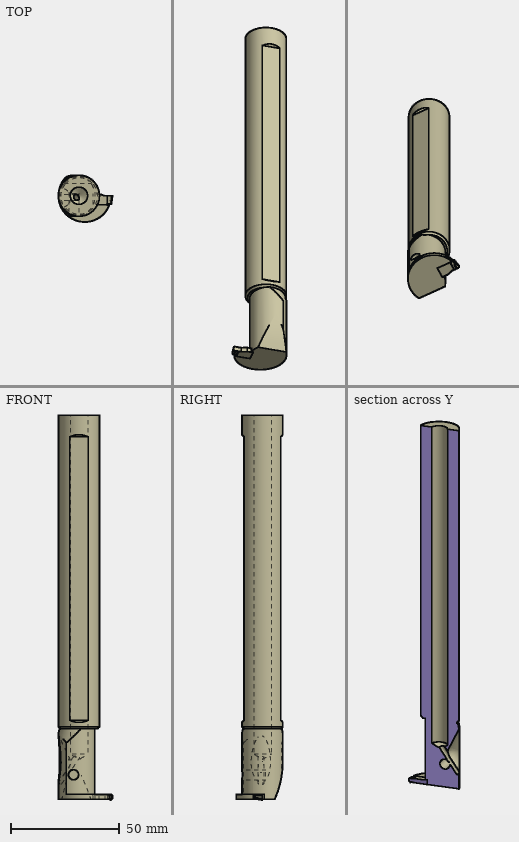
import cadquery as cq
import math

total_length = 177.8
overall_width = 25.0
overall_depth = 21.7

shank_diameter = 19.0
shank_radius = shank_diameter / 2
shank_bottom = 32.9
shank_chamfer = 1.0
flat_offset = 8.5
flat_depth = shank_radius - flat_offset
flat_bottom = 36.0
flat_top = 168.7

plate_bottom = 0.4
plate_thickness = 2.3
plate_radius = overall_depth - shank_radius
plate_center_x = plate_radius - shank_radius

neck_radius = shank_radius
neck_center_x = -2.1
neck_cone_bottom = 23.5
neck_cone_bottom_radius = 11.2
neck_cone_top_radius = 9.0

relief_radius = 45.3
relief_top = 18.5

bore_diameter = 8.0
bore_bottom = 21.3
drill_point_angle = 118.0
pocket_radius = 4.5
pocket_x = -8.4
pocket_y = -0.9
pocket_z = 17.5
pocket_upper_tilt = 26.0
pocket_lower_tilt = 36.0
coolant_hole_diameter = 2.7
coolant_hole_y = -0.7
coolant_hole_tilt = 35.0
cross_hole_diameter = 4.6
cross_hole_x = -2.5
cross_hole_z = 11.7
cross_hole_end_y = 1.2

insert_front_y = -4.3
insert_root_x = 6.4
insert_root_y = 0.9
insert_slope_start_x = 9.2
insert_slope_end_x = 12.0
head_start_x = 13.0
tip_x = overall_width - shank_radius
point_x = 14.5
point_half_width = 0.5
tip_chamfer = 0.5
head_length = 4.0
head_relief_angle = 8.0


def cylinder(radius, bottom, top, x=0.0):
    """A vertical cylinder between two heights."""
    return cq.Workplane("XY", origin=(x, 0, bottom)).circle(radius).extrude(top - bottom)


def make_flat_cut(side):
    """Material outside one flat; its ends run out at 45 degrees. `side` is -1 or 1 along Y."""
    return (
        cq.Workplane("YZ", origin=(-shank_radius, 0, 0))
        .moveTo(side * flat_offset, flat_bottom + flat_depth)
        .lineTo(side * flat_offset, flat_top - flat_depth)
        .lineTo(side * shank_radius, flat_top)
        .lineTo(side * shank_radius, flat_bottom)
        .close()
        .extrude(shank_diameter)
    )


def make_shank():
    shank = cylinder(shank_radius, shank_bottom, total_length).faces("<Z").chamfer(shank_chamfer)
    for side in (-1, 1):
        shank = shank.cut(make_flat_cut(side))
    return shank


def make_neck():
    """The lens-shaped neck, narrowed by a cone where it meets the shank."""
    outer = cylinder(plate_radius, plate_bottom, shank_bottom, plate_center_x)
    lens = outer.intersect(cylinder(neck_radius, plate_bottom, shank_bottom, neck_center_x))
    cone = (
        cq.Workplane("XY", origin=(0, 0, neck_cone_bottom))
        .circle(neck_cone_bottom_radius)
        .workplane(offset=shank_bottom - neck_cone_bottom)
        .circle(neck_cone_top_radius)
        .loft(ruled=True)
    )
    below_cone = cylinder(2 * plate_radius, 0, neck_cone_bottom)
    return lens.intersect(below_cone.union(cone))


def make_plate():
    """The part of the plate disc on the -Y side of the insert."""
    disc = cylinder(plate_radius, plate_bottom, plate_bottom + plate_thickness, plate_center_x)
    kept_side = (
        cq.Workplane("XY", origin=(plate_center_x, insert_front_y - plate_radius, plate_bottom))
        .rect(2 * plate_radius, 2 * plate_radius)
        .extrude(plate_thickness)
    )
    return disc.intersect(kept_side)


def relief_y(height):
    """Y of the clearance curve at a height."""
    return neck_radius - relief_radius + math.sqrt(relief_radius**2 - (relief_top - height) ** 2)


def make_relief():
    """Material outside the curved clearance at the foot of the +Y side."""
    return (
        cq.Workplane("YZ", origin=(plate_center_x - plate_radius, 0, 0))
        .moveTo(neck_radius, relief_top)
        .threePointArc((relief_y(relief_top / 2), relief_top / 2), (relief_y(0), 0))
        .lineTo(2 * neck_radius, 0)
        .lineTo(2 * neck_radius, relief_top)
        .close()
        .extrude(2 * plate_radius)
    )


def make_bore():
    """The blind axial bore with its drill point."""
    radius = bore_diameter / 2
    point_depth = radius / math.tan(math.radians(drill_point_angle / 2))
    return (
        cq.Workplane("XZ")
        .moveTo(0, bore_bottom - point_depth)
        .lineTo(radius, bore_bottom)
        .lineTo(radius, total_length)
        .lineTo(0, total_length)
        .close()
        .revolve(360, (0, 0, 0), (0, 1, 0))
    )


def pocket_arm(tilt, vertical):
    """Vector along one arm of the pocket, tilted from vertical; `vertical` is 1 for up, -1 for down."""
    angle = math.radians(tilt)
    return cq.Vector(-shank_radius, 0, vertical * shank_radius / math.tan(angle))


def make_pocket():
    """A round elbow whose two arms open through the -X face, one rising and one falling."""
    elbow = cq.Vector(pocket_x, pocket_y, pocket_z)
    upper_end = elbow + pocket_arm(pocket_upper_tilt, 1)
    lower_end = elbow + pocket_arm(pocket_lower_tilt, -1)
    path = cq.Workplane("XY").add(cq.Wire.makePolygon([upper_end, elbow, lower_end]))
    start = cq.Plane(upper_end, xDir=(0, 1, 0), normal=elbow - upper_end)
    return cq.Workplane(start).circle(pocket_radius).sweep(path, transition="round")


def make_coolant_hole():
    """A small hole along the rising floor of the pocket, ending in the drill point of the bore."""
    angle = math.radians(coolant_hole_tilt)
    floor_start = (
        pocket_x + pocket_radius * math.cos(angle),
        coolant_hole_y,
        pocket_z - pocket_radius * math.sin(angle),
    )
    rising = cq.Plane(floor_start, xDir=(0, 1, 0), normal=(math.sin(angle), 0, math.cos(angle)))
    into_bore = (bore_bottom - floor_start[2]) / math.cos(angle)
    through_wall = (floor_start[0] + shank_radius) / math.sin(angle)
    return (
        cq.Workplane(rising)
        .workplane(offset=-through_wall)
        .circle(coolant_hole_diameter / 2)
        .extrude(through_wall + into_bore)
    )


def make_cross_hole():
    """The blind hole entering from the -Y side."""
    return (
        cq.Workplane("XZ", origin=(cross_hole_x, cross_hole_end_y, cross_hole_z))
        .circle(cross_hole_diameter / 2)
        .extrude(2 * neck_radius)
    )


def make_insert():
    """The insert root with its cutting head, which narrows away from the edge at Y = 0."""
    root = (
        cq.Workplane("XY", origin=(0, 0, plate_bottom))
        .moveTo(insert_root_x, insert_front_y)
        .lineTo(insert_root_x, insert_root_y)
        .lineTo(insert_slope_start_x, insert_root_y)
        .lineTo(insert_slope_end_x, 0)
        .lineTo(head_start_x, 0)
        .lineTo(head_start_x, insert_front_y)
        .close()
        .extrude(plate_thickness)
    )
    plate_top = plate_bottom + plate_thickness
    cutting_head = (
        cq.Workplane("XZ")
        .moveTo(insert_slope_end_x, plate_bottom)
        .lineTo(point_x - point_half_width, plate_bottom)
        .lineTo(point_x, 0)
        .lineTo(tip_x, plate_bottom + tip_chamfer)
        .lineTo(tip_x, plate_top - tip_chamfer)
        .lineTo(tip_x - tip_chamfer, plate_top)
        .lineTo(insert_slope_end_x, plate_top)
        .close()
        .extrude(head_length, taper=head_relief_angle)
    )
    return root.union(cutting_head)


def make_bar():
    bar = make_shank().union(make_neck()).cut(make_relief()).union(make_plate())
    for opening in (make_bore(), make_pocket(), make_coolant_hole(), make_cross_hole()):
        bar = bar.cut(opening)
    return bar


insert = make_insert()
bar = make_bar().cut(insert)

result = cq.Compound.makeCompound([bar.val(), insert.val()])